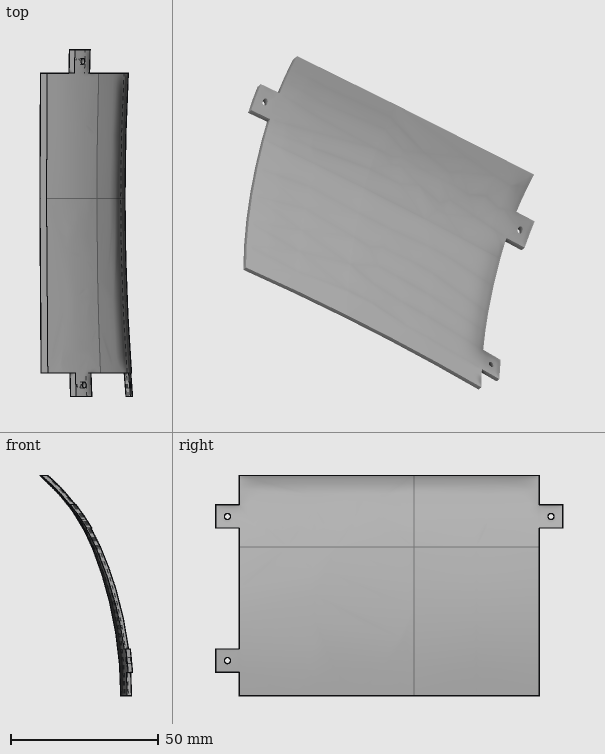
import cadquery as cq
import math

HEIGHT = 75.0
JOINT_Z = 50.0
THICKNESS = 1.5
FRONT_LENGTH = 59.4
REAR_LENGTH = 42.6

BOTTOM_X = 27.5
JOINT_X = 18.0
TOP_X = 0.0

BOTTOM_BOW_RADIUS = 800.0
JOINT_BOW_RADIUS = 1400.0
TOP_BOW_RADIUS = 4400.0

TAB_SIZE = 8.0
TAB_HOLE_DIAMETER = 2.0
UPPER_TAB_Z = 61.0
LOWER_TAB_Z = 12.0
CUT_DEPTH = 100.0

FRONT_TIP_Y = -(FRONT_LENGTH + TAB_SIZE)
REAR_TIP_Y = REAR_LENGTH + TAB_SIZE


def bow(y, radius):
    """Outward shift in X at distance y from the middle section."""
    return radius - math.sqrt(radius**2 - y**2)


def arc_point(center, radius, angle):
    """Point (X, Z) on an arc, with the angle raised from the +X direction."""
    return (center[0] + radius * math.cos(angle), center[1] + radius * math.sin(angle))


def section(y):
    """Closed XZ profile at y: two tangent arcs, offset outward by the thickness."""
    bottom_x = BOTTOM_X + bow(y, BOTTOM_BOW_RADIUS)
    joint_x = JOINT_X + bow(y, JOINT_BOW_RADIUS)
    top_x = TOP_X + bow(y, TOP_BOW_RADIUS)

    drop = bottom_x - joint_x
    lower_radius = (JOINT_Z**2 + drop**2) / (2 * drop)
    lower_center = (bottom_x - lower_radius, 0.0)
    joint_angle = math.asin(JOINT_Z / lower_radius)

    upper_run = joint_x - top_x
    upper_rise = HEIGHT - JOINT_Z
    chord_angle = math.atan2(upper_run, upper_rise)
    top_angle = 2 * chord_angle - joint_angle
    upper_radius = upper_rise / (math.sin(top_angle) - math.sin(joint_angle))
    upper_center = (
        joint_x - upper_radius * math.cos(joint_angle),
        JOINT_Z - upper_radius * math.sin(joint_angle),
    )

    outer_lower_radius = lower_radius + THICKNESS
    outer_upper_radius = upper_radius + THICKNESS
    outer_top_angle = math.asin((HEIGHT - upper_center[1]) / outer_upper_radius)
    outer_middle_angle = (joint_angle + outer_top_angle) / 2

    return (
        cq.Workplane("XZ", origin=(0, y, 0))
        .moveTo(bottom_x, 0)
        .threePointArc(arc_point(lower_center, lower_radius, joint_angle / 2), (joint_x, JOINT_Z))
        .threePointArc(arc_point(upper_center, upper_radius, chord_angle), (top_x, HEIGHT))
        .lineTo(*arc_point(upper_center, outer_upper_radius, outer_top_angle))
        .threePointArc(
            arc_point(upper_center, outer_upper_radius, outer_middle_angle),
            arc_point(upper_center, outer_upper_radius, joint_angle),
        )
        .threePointArc(
            arc_point(lower_center, outer_lower_radius, joint_angle / 2),
            (bottom_x + THICKNESS, 0),
        )
        .close()
        .wire()
        .val()
    )


def curved_half(tip_y):
    """Curved plate from the middle section out to the tab tips at tip_y."""
    wires = [section(y) for y in (0.0, tip_y / 2, tip_y)]
    return cq.Workplane(cq.Solid.makeLoft(wires))


def side_rectangle(y_min, y_max, z_min, z_max):
    """Block spanning a YZ rectangle and running right through the plate in X."""
    return (
        cq.Workplane("YZ", origin=(-CUT_DEPTH, 0, 0))
        .moveTo((y_min + y_max) / 2, (z_min + z_max) / 2)
        .rect(y_max - y_min, z_max - z_min)
        .extrude(2 * CUT_DEPTH)
    )


def tab_blank(y_min, z):
    return side_rectangle(y_min, y_min + TAB_SIZE, z - TAB_SIZE / 2, z + TAB_SIZE / 2)


def tab_hole(y_min, z):
    return (
        cq.Workplane("YZ", origin=(-CUT_DEPTH, 0, 0))
        .moveTo(y_min + TAB_SIZE / 2, z)
        .circle(TAB_HOLE_DIAMETER / 2)
        .extrude(2 * CUT_DEPTH)
    )


TABS = [
    (FRONT_TIP_Y, UPPER_TAB_Z),
    (FRONT_TIP_Y, LOWER_TAB_Z),
    (REAR_LENGTH, UPPER_TAB_Z),
]

outline = side_rectangle(-FRONT_LENGTH, REAR_LENGTH, 0, HEIGHT)
for tab in TABS:
    outline = outline.union(tab_blank(*tab))
for tab in TABS:
    outline = outline.cut(tab_hole(*tab))

front_half = curved_half(FRONT_TIP_Y).intersect(outline)
rear_half = curved_half(REAR_TIP_Y).intersect(outline)
result = front_half.union(rear_half)